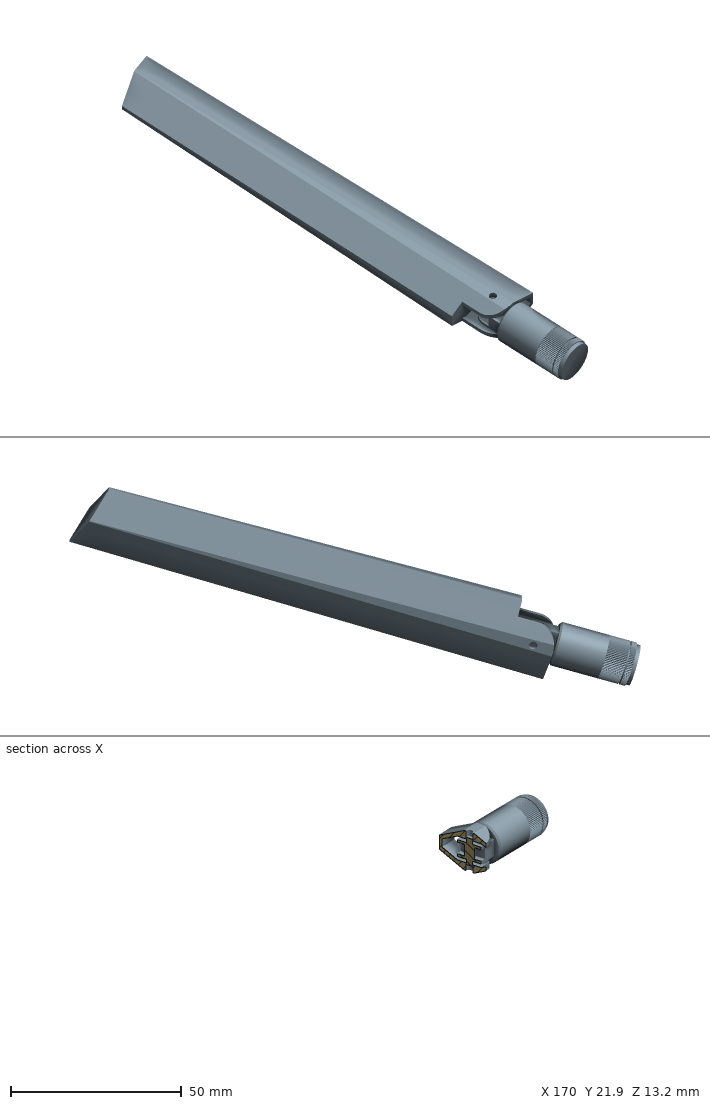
import cadquery as cq
import math


overall_length = 169.98
connector_end_x = 31.0
blade_tip_x = connector_end_x - overall_length
blade_end_x = 6.25
tip_slant = 6.4

tip_half_width = 9.6
tip_half_height = 5.3
tip_side_half = 0.7
tip_crown_half = 0.08

end_half_width = 10.99
end_half_height = 6.6
end_side_half = 2.4
end_crown_half = 1.8

notch_start_x = -6.65
notch_y = -6.1
pocket_wall = 1.15
pocket_half_height = 3.84
pocket_side_half = 1.3
pivot_radius = 1.2

barrel_radius = 6.6
barrel_start_x = 6.5
barrel_chamfer = 0.6
knurl_start_x = 21.4
knurl_end_x = 29.8
knurl_count = 80
knurl_depth = 0.25
ring_groove_x = 27.9
ring_groove_width = 0.4
ring_groove_depth = 0.5
end_ring_radius = 6.15

tongue_half_width = 4.4
tongue_half_height = 2.8
pivot_half_length = 4.5
window_start_x = -3.3
window_half_height = 1.8
window_pin_radius = 1.9


def octagon(half_width, half_height, side_half, crown_half):
    """Octagon points (y, z) with flat sides at +-Y and flat crowns at +-Z."""
    corners = [(half_width, side_half), (crown_half, half_height)]
    upper = corners + [(-y, z) for y, z in reversed(corners)]
    return upper + [(-y, -z) for y, z in upper]


def blade_bar():
    tip = octagon(tip_half_width, tip_half_height, tip_side_half, tip_crown_half)
    end = octagon(end_half_width, end_half_height, end_side_half, end_crown_half)
    return (
        cq.Workplane("YZ", origin=(blade_tip_x, 0, 0)).polyline(tip).close()
        .workplane(offset=blade_end_x - blade_tip_x).polyline(end).close()
        .loft(ruled=True)
    )


def slanted_tip_cutter():
    slant_per_y = tip_slant / (2 * tip_half_width)
    reach = 2 * end_half_width
    return (
        cq.Workplane("XY")
        .moveTo(blade_tip_x + slant_per_y * (tip_half_width - reach), reach)
        .lineTo(blade_tip_x + slant_per_y * (tip_half_width + reach), -reach)
        .lineTo(blade_tip_x - reach, -reach)
        .lineTo(blade_tip_x - reach, reach)
        .close()
        .extrude(end_half_height * 2, both=True)
    )


def notch_cutter():
    """Clears the -Y side so that the connector can fold; the corner left is round about the hinge."""
    reach = 2 * end_half_width
    round_radius = -notch_y
    return (
        cq.Workplane("XY")
        .moveTo(notch_start_x, notch_y)
        .lineTo(0, notch_y)
        .radiusArc((round_radius, 0), -round_radius)
        .lineTo(reach, 0)
        .lineTo(reach, -reach)
        .lineTo(notch_start_x, -reach)
        .close()
        .extrude(end_half_height * 2, both=True)
    )


def pocket_cutter():
    """Octagonal pocket that follows the blade's sloped sides and opens at the hinge end."""
    half_width = end_half_width - pocket_wall
    side_slope = (end_half_height - end_side_half) / (end_half_width - end_crown_half)
    crown_half = half_width - (pocket_half_height - pocket_side_half) / side_slope
    outline = octagon(half_width, pocket_half_height, pocket_side_half, crown_half)
    return (
        cq.Workplane("YZ", origin=(notch_start_x, 0, 0)).polyline(outline).close()
        .extrude(2 * blade_end_x - notch_start_x)
    )


def z_cylinder(radius, half_height):
    return cq.Workplane("XY", origin=(0, 0, -half_height)).circle(radius).extrude(2 * half_height)


def x_cylinder(radius, start_x, end_x):
    return cq.Workplane("YZ", origin=(start_x, 0, 0)).circle(radius).extrude(end_x - start_x)


def make_blade():
    blade = blade_bar().cut(slanted_tip_cutter()).cut(notch_cutter()).cut(pocket_cutter())
    return blade.cut(z_cylinder(pivot_radius, end_half_height))


def knurled_band():
    """Grip band with straight V grooves, split by one narrow ring groove."""
    outline = []
    half_pitch = math.pi / knurl_count
    for step in range(2 * knurl_count):
        radius = barrel_radius if step % 2 == 0 else barrel_radius - knurl_depth
        angle = step * half_pitch
        outline.append((radius * math.cos(angle), radius * math.sin(angle)))
    band = (
        cq.Workplane("YZ", origin=(knurl_start_x, 0, 0)).polyline(outline).close()
        .extrude(knurl_end_x - knurl_start_x)
    )
    groove = (
        cq.Workplane("YZ", origin=(ring_groove_x - ring_groove_width / 2, 0, 0))
        .circle(barrel_radius + knurl_depth)
        .circle(barrel_radius - ring_groove_depth)
        .extrude(ring_groove_width)
    )
    return band.cut(groove)


def hinge_tongue():
    """Round-ended tongue with pivot stubs and a window crossed by a pin."""
    length = barrel_start_x + barrel_chamfer
    window_end_x = window_pin_radius
    bar = cq.Workplane("XY").box(length, 2 * tongue_half_width, 2 * tongue_half_height)
    bar = bar.translate((length / 2, 0, 0))
    window = (
        cq.Workplane("XZ")
        .center((window_start_x + window_end_x) / 2, 0)
        .rect(window_end_x - window_start_x, 2 * window_half_height)
        .extrude(2 * tongue_half_width, both=True)
    )
    tongue = bar.union(z_cylinder(tongue_half_width, tongue_half_height)).cut(window)
    tongue = tongue.union(z_cylinder(window_pin_radius, tongue_half_height))
    return tongue.union(z_cylinder(pivot_radius, pivot_half_length))


def make_connector():
    barrel = x_cylinder(barrel_radius, barrel_start_x, knurl_start_x)
    barrel = barrel.faces("<X").chamfer(barrel_chamfer)
    end_ring = x_cylinder(end_ring_radius, knurl_end_x, connector_end_x)
    return barrel.union(knurled_band()).union(end_ring).union(hinge_tongue())


blade = make_blade()
connector = make_connector()

result = cq.Compound.makeCompound([blade.solids().val(), connector.solids().val()])